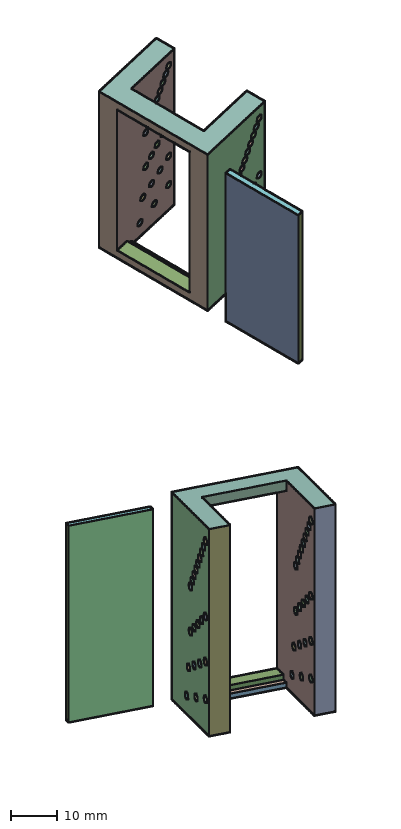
import cadquery as cq

housing_width = 30.0
housing_depth = 20.0
housing_height = 50.0
wall = 5.0

channel_width = housing_width - 2 * wall
window_border = wall / 2
window_height = housing_height - 2 * window_border

step_drop = window_border / 2

plate_gap = wall
plate_width = 20.0
plate_thickness = 1.5
plate_height = housing_height - window_border

hole_diameter = 1.7
level_pitch = 1.8
first_hole_drop = 3.8
hole_unit_step = wall / 5
hole_back_inset = 2 * hole_unit_step
hole_rows = [(0, 9, 1), (10, 5, 2), (16, 4, 3), (21, 3, 5)]


def corner_box(width, depth, height):
    """Box with its lower left front corner at the origin."""
    return cq.Workplane("XY").box(width, depth, height, centered=False)


def hole_centers():
    """Positions (Y, Z) of all the cross holes."""
    row_start_y = housing_depth - hole_back_inset
    top_level_z = housing_height - first_hole_drop
    return [
        (row_start_y - i * step * hole_unit_step, top_level_z - (first_level + i) * level_pitch)
        for first_level, count, step in hole_rows
        for i in range(count)
    ]


def make_housing():
    body = corner_box(housing_width, housing_depth, housing_height)

    channel = corner_box(channel_width, housing_depth - wall, housing_height)
    body = body.cut(channel.translate((wall, wall, 0)))

    window = corner_box(channel_width, wall, window_height)
    body = body.cut(window.translate((wall, 0, window_border)))

    step = corner_box(channel_width, plate_thickness, step_drop)
    body = body.cut(step.translate((wall, wall - plate_thickness, window_border - step_drop)))

    drills = (
        cq.Workplane("YZ")
        .pushPoints(hole_centers())
        .circle(hole_diameter / 2)
        .extrude(housing_width)
    )
    return body.cut(drills)


def make_plate():
    plate = corner_box(plate_width, plate_thickness, plate_height)
    return plate.translate((housing_width + plate_gap, 0, 0))


housing = make_housing()
plate = make_plate()

result = cq.Compound.makeCompound([housing.val(), plate.val()])